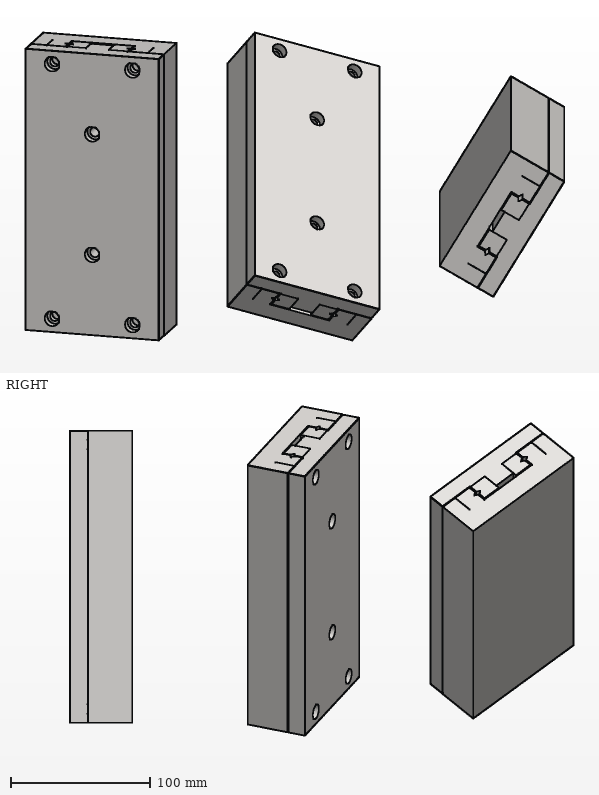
import cadquery as cq

WIDTH = 100.0
HEIGHT = 45.0
LENGTH = 210.0
EDGE_CHAMFER = 0.32

PLATE_HEIGHT = 12.8
SEAT_HEIGHT = 13.5
RIB_HEIGHT = 25.5
RIB_WIDTH = 17.0
RIB_HALF_WIDTH = RIB_WIDTH / 2

RAIL_OUTER_X = 22.7
RAIL_TOP = 28.1

TABLE_GAP = 0.6
TABLE_BOTTOM = PLATE_HEIGHT + TABLE_GAP
RAIL_CLEARANCE = 1.0
CHANNEL_HALF_WIDTH = RAIL_OUTER_X + RAIL_CLEARANCE
CHANNEL_TOP = 29.0

GROOVE_Y = 21.0
GROOVE_DEPTH = 2.5
GROOVE_HALF_HEIGHT = 1.7

SLIT_X = 37.8
SLIT_WIDTH = 0.1
SLIT_TOP = 28.4

BORE_DIAMETER = 7.0
COUNTERBORE_DIAMETER = 11.0
COUNTERBORE_DEPTH = 6.7
CORNER_HOLE_X = 30.0
CORNER_HOLE_Z = 95.0
CENTER_HOLE_Z = 45.0


def block(x_min, x_max, y_min, y_max):
    """Full-length block, centred along Z."""
    return (
        cq.Workplane("XY")
        .box(x_max - x_min, y_max - y_min, LENGTH, centered=(False, False, True))
        .translate((x_min, y_min, 0))
    )


def v_groove(wall_x, direction):
    """Full-length V cutter that sinks into a wall along the given X direction."""
    tip_x = wall_x + direction * GROOVE_DEPTH
    return (
        cq.Workplane("XY", origin=(0, 0, -LENGTH / 2))
        .polyline([
            (wall_x, GROOVE_Y - GROOVE_HALF_HEIGHT),
            (tip_x, GROOVE_Y),
            (wall_x, GROOVE_Y + GROOVE_HALF_HEIGHT),
        ])
        .close()
        .extrude(LENGTH)
    )


def mounting_hole(x, z):
    """Counterbored hole cutter along Y, entering from the mounting face."""
    axis = cq.Workplane("XZ", origin=(x, 0, z))
    bore = axis.circle(BORE_DIAMETER / 2).extrude(-RIB_HEIGHT)
    counterbore = axis.circle(COUNTERBORE_DIAMETER / 2).extrude(-COUNTERBORE_DEPTH)
    return bore.union(counterbore)


def make_base():
    """Plate with rail seats, rib and holes, chamfered around its mounting face and at its corners."""
    half_width = WIDTH / 2
    base = block(-half_width, half_width, 0, PLATE_HEIGHT).edges("<Y or |Y").chamfer(EDGE_CHAMFER)
    base = base.union(block(-RAIL_OUTER_X, RAIL_OUTER_X, EDGE_CHAMFER, SEAT_HEIGHT))
    base = base.union(block(-RIB_HALF_WIDTH, RIB_HALF_WIDTH, EDGE_CHAMFER, RIB_HEIGHT))
    corner_holes = [
        (x, z)
        for x in (-CORNER_HOLE_X, CORNER_HOLE_X)
        for z in (-CORNER_HOLE_Z, CORNER_HOLE_Z)
    ]
    center_holes = [(0, -CENTER_HOLE_Z), (0, CENTER_HOLE_Z)]
    for x, z in corner_holes + center_holes:
        base = base.cut(mounting_hole(x, z))
    return base


def make_table():
    """Table with a grooved channel between two slits; only its -X side is chamfered."""
    table = block(-WIDTH / 2, WIDTH / 2, TABLE_BOTTOM, HEIGHT).faces("<X").edges().chamfer(EDGE_CHAMFER)
    table = table.cut(block(-CHANNEL_HALF_WIDTH, CHANNEL_HALF_WIDTH, TABLE_BOTTOM, CHANNEL_TOP))
    for side in (-1, 1):
        table = table.cut(v_groove(side * CHANNEL_HALF_WIDTH, side))
        slit_center = side * SLIT_X
        slit = block(slit_center - SLIT_WIDTH / 2, slit_center + SLIT_WIDTH / 2, TABLE_BOTTOM, SLIT_TOP)
        table = table.cut(slit)
    return table


def make_rail(side):
    """Rail on the given X side of the rib, grooved on its outer face."""
    x_min, x_max = sorted((side * RIB_HALF_WIDTH, side * RAIL_OUTER_X))
    rail = block(x_min, x_max, SEAT_HEIGHT, RAIL_TOP)
    return rail.cut(v_groove(side * RAIL_OUTER_X, -side))


base = make_base()
table = make_table()
rails = [make_rail(side) for side in (-1, 1)]

result = cq.Compound.makeCompound([
    base.val(),
    table.val(),
    *[rail.val() for rail in rails],
])